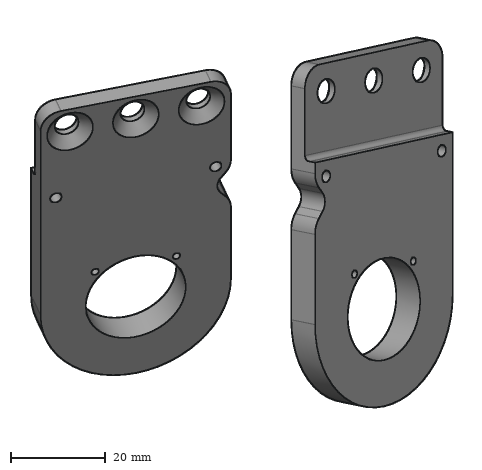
import cadquery as cq
import math

height = 75.9
width = 42.0
thickness = 7.0
half_width = width / 2
bore_z = half_width

tab_thickness = 4.0
step_depth = thickness - tab_thickness
ledge_z = 55.85
step_fillet = 1.15
tab_corner_radius = 4.5

bore_diameter = 22.0
tab_hole_diameter = 5.2
countersink_depth = 2.4
tab_hole_spacing = 14.5
tab_hole_z = 69.8
body_hole_diameter = 2.5
body_hole_offset = 17.6
body_hole_z = 52.4
pin_hole_diameter = 1.6
pin_hole_offset = 8.95

notch_z = 47.0
notch_depth = 3.0
notch_mouth_radius = 5.0
notch_bottom_radius = 3.0
flank_angle = math.radians(40)


def make_plate():
    """Full-thickness plate with a semicircular lower end."""
    return (
        cq.Workplane("YZ")
        .moveTo(-half_width, bore_z)
        .threePointArc((0, 0), (half_width, bore_z))
        .lineTo(half_width, height)
        .lineTo(-half_width, height)
        .close()
        .extrude(thickness)
        .edges("|X and >Z")
        .fillet(tab_corner_radius)
    )


def make_step():
    """Material removed in front of the tab, rounded at the inner corner."""
    return (
        cq.Workplane("XY")
        .box(step_depth, width, height - ledge_z, centered=(False, True, False))
        .translate((0, 0, ledge_z))
        .edges("|Y and >X and <Z")
        .fillet(step_fillet)
    )


def make_notch():
    """Cutter whose arcs run tangent into its straight flanks."""
    radius_sum = notch_mouth_radius + notch_bottom_radius
    arc_depth = radius_sum * (1 - math.cos(flank_angle))
    flank_length = (notch_depth - arc_depth) / math.sin(flank_angle)
    half_mouth = radius_sum * math.sin(flank_angle) + flank_length * math.cos(flank_angle)
    bottom_y = half_width - notch_depth

    def mouth_point(angle, side):
        y = half_width - notch_mouth_radius * (1 - math.cos(angle))
        z = half_mouth - notch_mouth_radius * math.sin(angle)
        return (y, notch_z + side * z)

    def bottom_point(angle, side):
        y = bottom_y + notch_bottom_radius * (1 - math.cos(angle))
        return (y, notch_z + side * notch_bottom_radius * math.sin(angle))

    return (
        cq.Workplane("YZ")
        .moveTo(*mouth_point(0, 1))
        .threePointArc(mouth_point(flank_angle / 2, 1), mouth_point(flank_angle, 1))
        .lineTo(*bottom_point(flank_angle, 1))
        .threePointArc((bottom_y, notch_z), bottom_point(flank_angle, -1))
        .lineTo(*mouth_point(flank_angle, -1))
        .threePointArc(mouth_point(flank_angle / 2, -1), mouth_point(0, -1))
        .close()
        .extrude(thickness)
    )


def make_holes(diameter, centers):
    """Through-hole cutters at the given (Y, Z) centres."""
    return cq.Workplane("YZ").pushPoints(centers).circle(diameter / 2).extrude(thickness)


def make_countersinks(centers):
    """90 degree cones opening from the tab holes to the back face."""
    hole_radius = tab_hole_diameter / 2
    cone = cq.Solid.makeCone(
        hole_radius,
        hole_radius + countersink_depth,
        countersink_depth,
        pnt=cq.Vector(thickness - countersink_depth, 0, 0),
        dir=cq.Vector(1, 0, 0),
    )
    cutters = cq.Workplane("XY")
    for y, z in centers:
        cutters = cutters.add(cone.translate(cq.Vector(0, y, z)))
    return cutters.combine()


def mirrored_pair(offset, z):
    return [(-offset, z), (offset, z)]


result = make_plate().cut(make_step()).cut(make_notch())

tab_hole_centers = [(0, tab_hole_z)] + mirrored_pair(tab_hole_spacing, tab_hole_z)
hole_groups = [
    (bore_diameter, [(0, bore_z)]),
    (tab_hole_diameter, tab_hole_centers),
    (body_hole_diameter, mirrored_pair(body_hole_offset, body_hole_z)),
    (pin_hole_diameter, mirrored_pair(pin_hole_offset, bore_z + pin_hole_offset)),
]
for diameter, centers in hole_groups:
    result = result.cut(make_holes(diameter, centers))
result = result.cut(make_countersinks(tab_hole_centers))